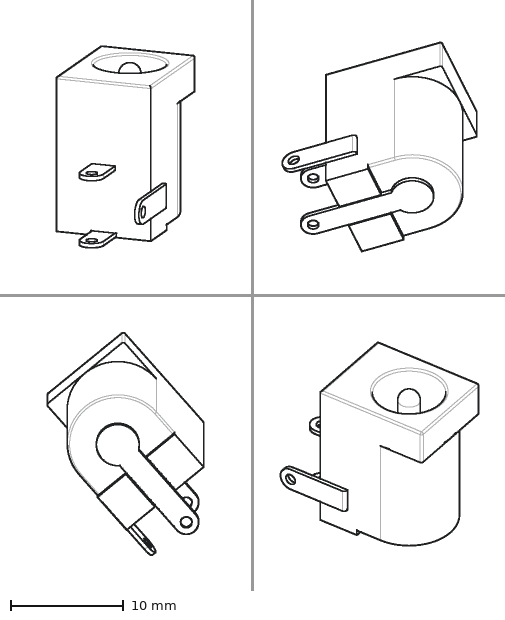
import cadquery as cq

height = 14.3
body_width = 9.0
barrel_radius = body_width / 2
body_front = -6.5
head_height = 3.3
edge_radius = 0.2

recess_depth = 0.4
recess_front = -2.5
channel_width = 2.4

socket_radius = 3.25
socket_floor = 4.0
pin_radius = 1.0

sheet = 0.4
lug_width = 2.2
lug_hole_diameter = 1.0
lug_tip = body_front - 4.0
upper_lug_bottom = 6.2
side_lug_height = 3.5
side_lug_back = -3.52
side_bend_radius = 0.3
rivet_plate_radius = 1.9
spring_width = 2.84
spring_thickness = 0.3
spring_face = -2.75


def block(x_min, x_max, y_min, y_max, z_min, z_max):
    """Axis-aligned box between the given limits."""
    size = (x_max - x_min, y_max - y_min, z_max - z_min)
    return cq.Workplane("XY").box(*size, centered=False).translate((x_min, y_min, z_min))


def make_lug(back):
    """Flat lug on Z = 0, from Y = back to a round, drilled tip."""
    half = lug_width / 2
    tip_center = lug_tip + half
    return (
        cq.Workplane("XY")
        .moveTo(-half, back)
        .lineTo(-half, tip_center)
        .threePointArc((0, lug_tip), (half, tip_center))
        .lineTo(half, back)
        .close()
        .extrude(sheet)
        .cut(cq.Workplane("XY").center(0, tip_center).circle(lug_hole_diameter / 2).extrude(sheet))
    )


def make_housing():
    half = body_width / 2
    head_bottom = height - head_height

    head = block(-half, half, body_front, barrel_radius, head_bottom, height)
    head = head.edges("|Z and >Y").fillet(edge_radius)
    head = head.faces(">Z").edges().fillet(edge_radius)

    barrel = (
        cq.Workplane("XY", origin=(0, 0, recess_depth))
        .moveTo(-half, recess_front)
        .lineTo(-half, 0)
        .threePointArc((0, barrel_radius), (half, 0))
        .lineTo(half, recess_front)
        .close()
        .extrude(head_bottom - recess_depth)
    )
    barrel = barrel.faces("<Z").edges("not <Y").fillet(edge_radius)

    base = block(-half, half, body_front, recess_front, 0, head_bottom)
    channel = block(-channel_width / 2, channel_width / 2, body_front, recess_front, 0, recess_depth)
    return head.union(barrel).union(base).cut(channel)


def make_socket():
    """Cutting shape of the socket, with a rounded flare at its mouth."""
    mouth_radius = socket_radius + edge_radius
    lip_bottom = height - edge_radius
    diagonal = edge_radius * 0.5 ** 0.5
    return (
        cq.Workplane("XZ")
        .moveTo(0, socket_floor)
        .lineTo(socket_radius, socket_floor)
        .lineTo(socket_radius, lip_bottom)
        .threePointArc((mouth_radius - diagonal, lip_bottom + diagonal), (mouth_radius, height))
        .lineTo(0, height)
        .close()
        .revolve(360, (0, 0, 0), (0, 1, 0))
    )


def make_pin():
    """Centre pin whose domed end is level with the top of the housing."""
    dome_center = height - pin_radius
    base = cq.Workplane("XY", origin=(0, 0, socket_floor))
    shank = base.circle(pin_radius).extrude(dome_center - socket_floor)
    dome = cq.Workplane("XY").sphere(pin_radius).translate((0, 0, dome_center))
    return shank.union(dome)


def make_spring():
    """Contact strip standing on the socket floor just inside the front wall."""
    half = spring_width / 2
    top = upper_lug_bottom + sheet
    return block(-half, half, spring_face - spring_thickness, spring_face, socket_floor, top)


def make_side_contact():
    """Upright lug lying on the +X face, its back end bent into the housing."""
    lug = make_lug(side_lug_back).rotate((0, 0, 0), (0, 1, 0), 90)
    lug = lug.translate((body_width / 2, 0, side_lug_height))
    return lug.edges(">Y and >X").fillet(side_bend_radius)


rivet_plate = cq.Workplane("XY").circle(rivet_plate_radius).extrude(recess_depth)
upper_lug = make_lug(body_front).translate((0, 0, upper_lug_bottom))

result = make_housing().cut(make_socket())
for contact in (
    make_pin(),
    make_spring(),
    upper_lug,
    make_lug(0),
    rivet_plate,
    make_side_contact(),
):
    result = result.union(contact)